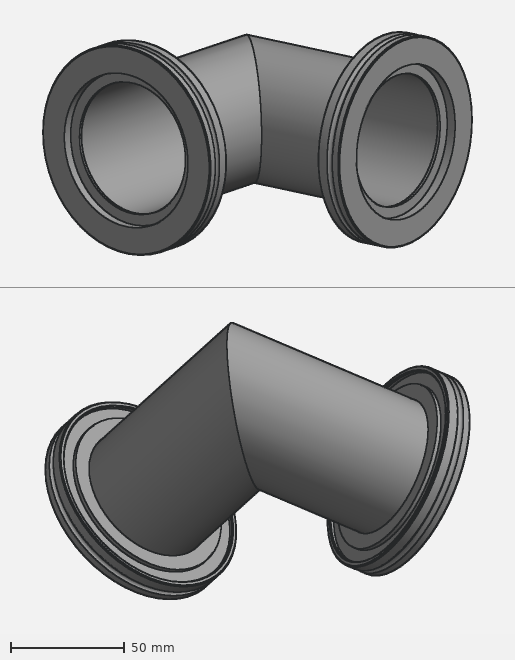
import cadquery as cq

reach = 88.0

tube_outer_radius = 63.5 / 2
tube_inner_radius = 60.2 / 2

flange_radius = 95.0 / 2
flange_thickness = 12.0
edge_chamfer = 0.5
bore_radius = 60.0 / 2
seal_recess_radius = 70.0 / 2
seal_recess_depth = 4.5
lip_thickness = 1.5
socket_radius = 63.7 / 2

rim_groove_radius = 1.5
rim_groove_center = 5.25

back_groove_inner_radius = 78.0 / 2
back_groove_outer_radius = 90.0 / 2
back_groove_depth = 2.0

socket_floor = seal_recess_depth + lip_thickness
tube_reach = reach - socket_floor


def make_flange():
    """Flange revolved about X: sealing face at x = reach, tube side toward the origin."""
    face = reach
    back = reach - flange_thickness
    recess_floor = face - seal_recess_depth
    socket_end = face - socket_floor
    groove_floor = back + back_groove_depth
    rim_groove = face - rim_groove_center
    profile = (
        cq.Workplane("XY")
        .moveTo(recess_floor, bore_radius)
        .lineTo(recess_floor, seal_recess_radius)
        .lineTo(face, seal_recess_radius)
        .lineTo(face, flange_radius - edge_chamfer)
        .lineTo(face - edge_chamfer, flange_radius)
        .lineTo(rim_groove + rim_groove_radius, flange_radius)
        .threePointArc(
            (rim_groove, flange_radius - rim_groove_radius),
            (rim_groove - rim_groove_radius, flange_radius),
        )
        .lineTo(back + edge_chamfer, flange_radius)
        .lineTo(back, flange_radius - edge_chamfer)
        .lineTo(back, back_groove_outer_radius + edge_chamfer)
        .lineTo(back + edge_chamfer, back_groove_outer_radius)
        .lineTo(groove_floor, back_groove_outer_radius)
        .lineTo(groove_floor, back_groove_inner_radius)
        .lineTo(back, back_groove_inner_radius)
        .lineTo(back, socket_radius)
        .lineTo(socket_end, socket_radius)
        .lineTo(socket_end, bore_radius)
        .close()
    )
    return profile.revolve(360, (0, 0, 0), (1, 0, 0))


def make_tube():
    """Tube along X, cut at 45 degrees on the plane y = -x and seated in the flange socket."""
    start = -tube_outer_radius
    blank = (
        cq.Workplane("YZ", origin=(start, 0, 0))
        .circle(tube_outer_radius)
        .circle(tube_inner_radius)
        .extrude(tube_reach - start)
    )
    mitre_side = (
        cq.Workplane("XY", origin=(0, 0, -tube_outer_radius))
        .polyline([
            (-tube_reach, tube_reach),
            (tube_reach, tube_reach),
            (tube_reach, -tube_reach),
        ])
        .close()
        .extrude(2 * tube_outer_radius)
    )
    return blank.intersect(mitre_side)


def mirror_to_second_leg(body):
    """Reflect a body across the mitre plane y = -x, taking the +X leg to the -Y leg."""
    return body.rotate((0, 0, 0), (0, 0, 1), 90).mirror("XZ")


bodies = []
for make_body in (make_tube, make_flange):
    first = make_body()
    bodies += [first.val(), mirror_to_second_leg(first).val()]

result = cq.Compound.makeCompound(bodies)